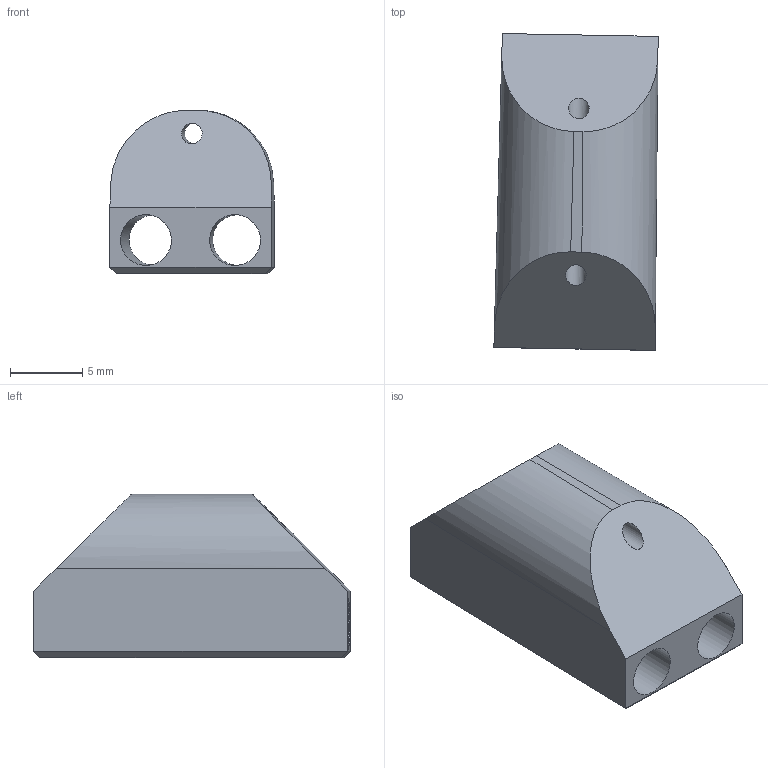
import cadquery as cq
import math

LENGTH = 21.75
HEIGHT = 11.3
MEAN_WIDTH = 10.98
SIDE_TAPER = 0.5
TURN = -1.05
SHOULDER_RADIUS = 5.14
END_WALL_HEIGHT = 4.6
BOTTOM_CHAMFER = 0.42

BORE_DIAMETER = 3.52
BORE_SPACING = 6.17
BORE_HEIGHT = 2.32
PIN_HOLE_DIAMETER = 1.42
PIN_HOLE_HEIGHT = 9.7

HALF_LENGTH = LENGTH / 2
WIDTH_CHANGE = LENGTH * math.tan(math.radians(SIDE_TAPER))
FRONT_HALF_WIDTH = (MEAN_WIDTH + WIDTH_CHANGE) / 2
BACK_HALF_WIDTH = (MEAN_WIDTH - WIDTH_CHANGE) / 2
END_SLOPE_RUN = HEIGHT - END_WALL_HEIGHT
CUT_MARGIN = 1.0


def tapered_block():
    """Block with a trapezoidal plan, rounded shoulders and a chamfered bottom rim."""
    plan = [
        (-FRONT_HALF_WIDTH, -HALF_LENGTH),
        (FRONT_HALF_WIDTH, -HALF_LENGTH),
        (BACK_HALF_WIDTH, HALF_LENGTH),
        (-BACK_HALF_WIDTH, HALF_LENGTH),
    ]
    block = cq.Workplane("XY").polyline(plan).close().extrude(HEIGHT)
    block = block.faces("<Z").edges().chamfer(BOTTOM_CHAMFER)
    long_top_edges = block.faces(">Z").edges("<X or >X")
    return long_top_edges.fillet(SHOULDER_RADIUS)


def sloped_profile():
    """Full-width prism whose side profile has a 45 degree slope above each end wall."""
    top_half_length = HALF_LENGTH - END_SLOPE_RUN
    profile = [
        (-HALF_LENGTH, 0),
        (HALF_LENGTH, 0),
        (HALF_LENGTH, END_WALL_HEIGHT),
        (top_half_length, HEIGHT),
        (-top_half_length, HEIGHT),
        (-HALF_LENGTH, END_WALL_HEIGHT),
    ]
    return cq.Workplane("YZ").polyline(profile).close().extrude(FRONT_HALF_WIDTH + CUT_MARGIN, both=True)


def lengthwise_hole(diameter, x_front, z, lean):
    """Cylinder through the body from end to end, leaning in plan by an angle towards +X."""
    direction = cq.Vector(math.sin(math.radians(lean)), math.cos(math.radians(lean)), 0)
    start = cq.Vector(x_front, -HALF_LENGTH, z) - direction * CUT_MARGIN
    reach = LENGTH + 2 * CUT_MARGIN
    return cq.Workplane(cq.Solid.makeCylinder(diameter / 2, reach, start, direction))


body = tapered_block().intersect(sloped_profile())

for side in (-1, 1):
    bore_x = side * BORE_SPACING / 2
    body = body.cut(lengthwise_hole(BORE_DIAMETER, bore_x, BORE_HEIGHT, -side * SIDE_TAPER))

body = body.cut(lengthwise_hole(PIN_HOLE_DIAMETER, 0, PIN_HOLE_HEIGHT, 0))

result = body.rotate((0, 0, 0), (0, 0, 1), TURN)